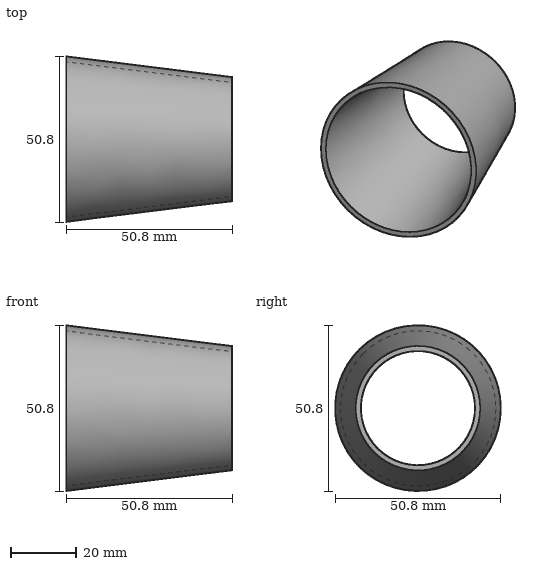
import cadquery as cq

length = 50.8
large_diameter = 50.8
small_diameter = 38.1
wall = 1.65

large_radius = large_diameter / 2
small_radius = small_diameter / 2

wall_section = (
    cq.Workplane("XY")
    .moveTo(0, large_radius - wall)
    .lineTo(0, large_radius)
    .lineTo(length, small_radius)
    .lineTo(length, small_radius - wall)
    .close()
)

result = wall_section.revolve(360, (0, 0, 0), (1, 0, 0))